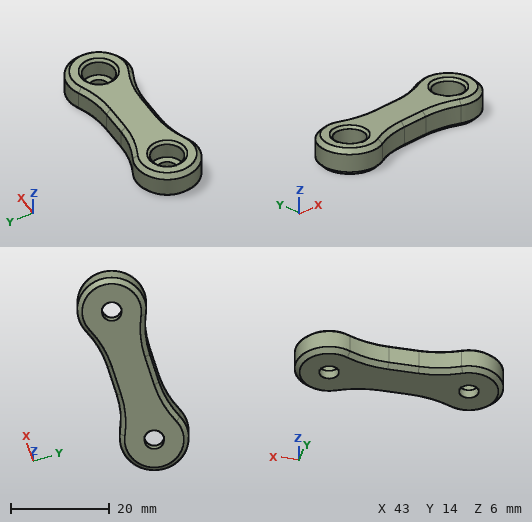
import cadquery as cq
import math

thickness = 6.0
hole_spacing = 29.0
end_radius = 7.0
waist_width = 9.0
neck_radius = 20.0
edge_chamfer = 1.0

bolt_hole_diameter = 4.0
counterbore_diameter = 7.0
counterbore_depth = 4.0
counterbore_chamfer = 0.6

end_x = hole_spacing / 2
half_waist = waist_width / 2
neck_center_y = half_waist + neck_radius
center_distance = end_radius + neck_radius
neck_offset_x = math.sqrt(center_distance**2 - neck_center_y**2)
waist_end_x = end_x - neck_offset_x

joint_x = end_x - end_radius * neck_offset_x / center_distance
joint_y = end_radius * neck_center_y / center_distance

half_sweep = math.asin(neck_offset_x / center_distance) / 2
neck_mid_x = waist_end_x + neck_radius * math.sin(half_sweep)
neck_mid_y = neck_center_y - neck_radius * math.cos(half_sweep)


def make_body():
    """Dog-bone plate with chamfered top and bottom rims, base at Z = 0."""
    outline = (
        cq.Workplane("XY")
        .moveTo(-waist_end_x, half_waist)
        .lineTo(waist_end_x, half_waist)
        .threePointArc((neck_mid_x, neck_mid_y), (joint_x, joint_y))
        .threePointArc((end_x + end_radius, 0), (joint_x, -joint_y))
        .threePointArc((neck_mid_x, -neck_mid_y), (waist_end_x, -half_waist))
        .lineTo(-waist_end_x, -half_waist)
        .threePointArc((-neck_mid_x, -neck_mid_y), (-joint_x, -joint_y))
        .threePointArc((-end_x - end_radius, 0), (-joint_x, joint_y))
        .threePointArc((-neck_mid_x, neck_mid_y), (-waist_end_x, half_waist))
        .close()
    )
    return outline.extrude(thickness).faces("<Z or >Z").chamfer(edge_chamfer)


def make_hole_cutter(x):
    """Stepped bolt hole: through bore, counterbore and chamfered mouth."""
    bore_radius = bolt_hole_diameter / 2
    counterbore_radius = counterbore_diameter / 2
    mouth_radius = counterbore_radius + counterbore_chamfer
    floor_z = thickness - counterbore_depth
    profile = (
        cq.Workplane("XZ")
        .moveTo(0, 0)
        .lineTo(bore_radius, 0)
        .lineTo(bore_radius, floor_z)
        .lineTo(counterbore_radius, floor_z)
        .lineTo(counterbore_radius, thickness - counterbore_chamfer)
        .lineTo(mouth_radius, thickness)
        .lineTo(0, thickness)
        .close()
    )
    return profile.revolve(360, (0, 0), (0, 1)).translate((x, 0, 0))


result = make_body()
for hole_x in (-end_x, end_x):
    result = result.cut(make_hole_cutter(hole_x))